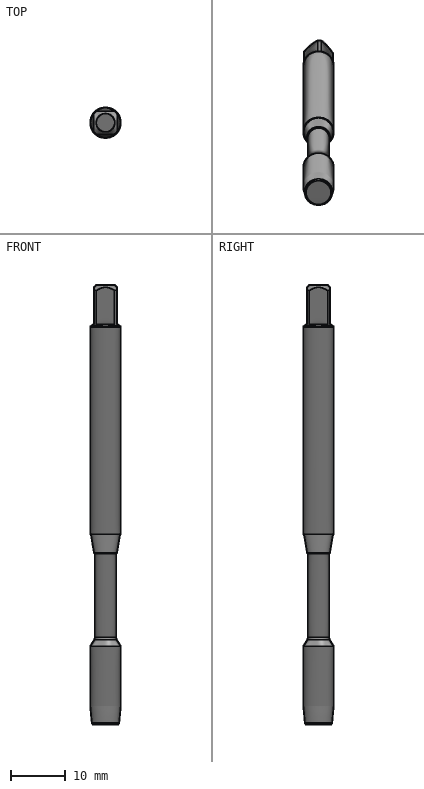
import cadquery as cq

total_length = 80.1
shank_diameter = 5.6
neck_diameter = 3.9

head_diameter = 5.6
tip_diameter = 5.05
tip_chamfer = 0.25
tip_chamfer_height = 0.3
lead_height = 3.4
head_shoulder_z = 14.25
head_cone_top_z = 15.45
head_cone_top_diameter = 4.1
head_length = 15.9

neck_top_z = 31.1
shank_cone_bottom_z = 31.3
shank_cone_bottom_diameter = 4.25
shank_cone_top_diameter = 5.4
shank_bottom_z = 34.7

square_width = 4.25
square_corner_diameter = 5.4
square_length = 7.1
corner_bottom_z = 72.65
shoulder_z = 72.4
flat_run_out = 0.5
drive_end_diameter = 3.4
drive_chamfer = (square_corner_diameter - drive_end_diameter) / 2


def turned_body(sections):
    """Revolve a list of (diameter, height) sections about Z, closed along the axis."""
    profile = [(diameter / 2, z) for diameter, z in sections]
    bottom_z = sections[0][1]
    top_z = sections[-1][1]
    outline = [(0, bottom_z)] + profile + [(0, top_z)]
    return cq.Workplane("XZ").polyline(outline).close().revolve(360, (0, 0), (0, 1))


def make_cutting_head():
    """Threaded head: chamfered tip, tapered lead, plain cylinder and cone easing into the neck."""
    return turned_body([
        (tip_diameter - 2 * tip_chamfer, 0),
        (tip_diameter, tip_chamfer_height),
        (head_diameter, lead_height),
        (head_diameter, head_shoulder_z),
        (head_cone_top_diameter, head_cone_top_z),
        (neck_diameter, head_length),
    ])


def cut_square_drive(shank):
    """Mill four flats on the top end, each running out down a slope to the shank surface."""
    flat_x = square_width / 2
    flat_bottom_z = total_length - square_length
    shank_radius = shank_diameter / 2
    waste = (
        cq.Workplane("XZ")
        .polyline([
            (flat_x, flat_bottom_z),
            (shank_radius, flat_bottom_z - flat_run_out),
            (shank_radius, total_length),
            (flat_x, total_length),
        ])
        .close()
        .extrude(shank_radius, both=True)
    )
    for side in range(4):
        shank = shank.cut(waste.rotate((0, 0, 0), (0, 0, 1), 90 * side))
    return shank


def make_shank():
    """Neck, cone with a small ledge above it, and shank, ending in a chamfered square drive."""
    turned = turned_body([
        (neck_diameter, head_length),
        (neck_diameter, neck_top_z),
        (shank_cone_bottom_diameter, shank_cone_bottom_z),
        (shank_cone_top_diameter, shank_bottom_z),
        (shank_diameter, shank_bottom_z),
        (shank_diameter, shoulder_z),
        (square_corner_diameter, corner_bottom_z),
        (square_corner_diameter, total_length - drive_chamfer),
        (drive_end_diameter, total_length),
    ])
    return cut_square_drive(turned)


cutting_head = make_cutting_head()
shank = make_shank()

result = cq.Compound.makeCompound([cutting_head.val(), shank.val()])